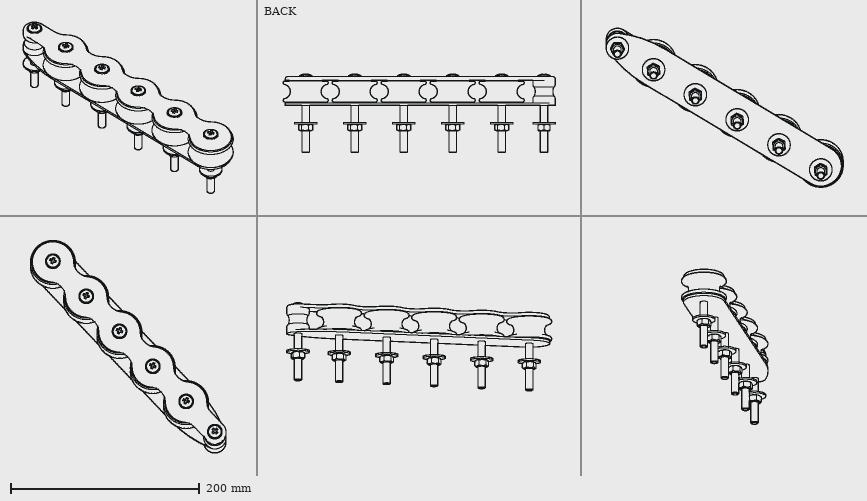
import cadquery as cq
import math

overall_length = 289.0
roller_count = 5
roller_pitch = 52.0
roller_radius = 24.0
post_radius = 12.0
post_x = post_radius
last_roller_x = overall_length - roller_radius
first_roller_x = last_roller_x - (roller_count - 1) * roller_pitch
roller_xs = [first_roller_x + i * roller_pitch for i in range(roller_count)]

total_height = 83.5
head_height = 2.5
cover_thickness = 4.0
base_thickness = 2.5
body_height = 30.5
cover_top = total_height - head_height
cover_bottom = cover_top - cover_thickness
base_bottom = cover_top - body_height
base_top = base_bottom + base_thickness
roller_middle = (base_top + cover_bottom) / 2

waist_half_width = post_radius
scallop_radius = 17.48
lobe_radius = math.hypot(roller_pitch / 2, waist_half_width + scallop_radius) - scallop_radius
cover_edge_fillet = 3.0

groove_half_height = 7.5
groove_rim_radius = 22.8
roller_neck_radius = 16.5
roller_clearance = 1.0
roller_hub_radius = 17.3
post_groove_half_height = 5.0
post_groove_rim_radius = 10.7
post_neck_radius = 9.5
post_shoulder_height = 2.5

bolt_radius = 4.0
bolt_tip_chamfer = 1.0
head_radius = 6.8
head_edge_lift = 0.5
head_crown_radius = 1.7
dome_share = 0.7
head_pocket_radius = 7.8
head_pocket_depth = 2.0
recess_length = 7.0
recess_width = 2.3
recess_depth = 2.3
recess_taper = 10.0
washer_radius = 12.0
washer_top = 32.0
washer_thickness = 1.7
nut_height = 7.2
nut_across_flats = 13.0
nut_face_radius = 5.8
nut_chamfer_height = 1.2
roller_bolt_turn = 25.0


def scallop_points(mid_x, side):
    """Start, middle and end of the waist arc centred at mid_x, on the +Y or -Y side."""
    reach = roller_pitch / 2
    share = lobe_radius / (lobe_radius + scallop_radius)
    tangent_x = reach * (1 - share)
    tangent_y = side * (waist_half_width + scallop_radius) * share
    left = (mid_x - tangent_x, tangent_y)
    right = (mid_x + tangent_x, tangent_y)
    return left, (mid_x, side * waist_half_width), right


def make_cover():
    """Scalloped plate with rounded upper edge, running from the post to the last roller."""
    mids = [x - roller_pitch / 2 for x in roller_xs]
    outline = cq.Workplane("XY", origin=(0, 0, cover_bottom))
    outline = outline.moveTo(post_x, -waist_half_width).lineTo(mids[0], -waist_half_width)
    _, _, first_end = scallop_points(mids[0], -1)
    outline = outline.radiusArc(first_end, scallop_radius)
    for mid_x in mids[1:]:
        left, middle, right = scallop_points(mid_x, -1)
        outline = outline.threePointArc((mid_x - roller_pitch / 2, -lobe_radius), left)
        outline = outline.threePointArc(middle, right)
    _, _, last_end = scallop_points(mids[-1], 1)
    outline = outline.threePointArc((last_roller_x + lobe_radius, 0), last_end)
    for mid_x in reversed(mids[1:]):
        left, middle, _ = scallop_points(mid_x, 1)
        outline = outline.threePointArc(middle, left)
        _, _, next_end = scallop_points(mid_x - roller_pitch, 1)
        outline = outline.threePointArc((mid_x - roller_pitch / 2, lobe_radius), next_end)
    outline = outline.radiusArc((mids[0], waist_half_width), scallop_radius)
    outline = outline.lineTo(post_x, waist_half_width)
    outline = outline.threePointArc((post_x - post_radius, 0), (post_x, -waist_half_width)).close()
    plate = outline.extrude(cover_thickness)
    return plate.faces(">Z").edges().fillet(cover_edge_fillet)


def make_base():
    """Flat plate with straight sides, a round end and a nose curving in to the post."""
    run = first_roller_x - post_x
    nose_radius = (run**2 + lobe_radius**2 - post_radius**2) / (2 * (lobe_radius - post_radius))
    nose_centre_y = lobe_radius - nose_radius
    nose_angle = math.atan2(run, -nose_centre_y)
    tip_x = post_x - post_radius * math.sin(nose_angle)
    tip_y = post_radius * math.cos(nose_angle)
    return (
        cq.Workplane("XY", origin=(0, 0, base_bottom))
        .moveTo(first_roller_x, -lobe_radius)
        .lineTo(last_roller_x, -lobe_radius)
        .threePointArc((last_roller_x + lobe_radius, 0), (last_roller_x, lobe_radius))
        .lineTo(first_roller_x, lobe_radius)
        .radiusArc((tip_x, tip_y), -nose_radius)
        .threePointArc((post_x - post_radius, 0), (tip_x, -tip_y))
        .radiusArc((first_roller_x, -lobe_radius), -nose_radius)
        .close()
        .extrude(base_thickness)
    )


def revolve_about_z(profile, x):
    """Turn a closed XZ profile, drawn from the Z axis, into a solid standing at x."""
    return profile.close().revolve(360, (0, 0, 0), (0, 1, 0)).translate((x, 0, 0))


def make_roller(x):
    """Grooved roller with full-round rims and a narrow hub spacing it off both plates."""
    groove_bottom = roller_middle - groove_half_height
    groove_top = roller_middle + groove_half_height
    lower_face = base_top + roller_clearance
    upper_face = cover_bottom - roller_clearance
    lower_rim_middle = (lower_face + groove_bottom) / 2
    upper_rim_middle = (upper_face + groove_top) / 2
    profile = (
        cq.Workplane("XZ")
        .moveTo(0, base_top)
        .lineTo(roller_hub_radius, base_top)
        .lineTo(roller_hub_radius, lower_face)
        .lineTo(groove_rim_radius, lower_face)
        .threePointArc((roller_radius, lower_rim_middle), (groove_rim_radius, groove_bottom))
        .threePointArc((roller_neck_radius, roller_middle), (groove_rim_radius, groove_top))
        .threePointArc((roller_radius, upper_rim_middle), (groove_rim_radius, upper_face))
        .lineTo(roller_hub_radius, upper_face)
        .lineTo(roller_hub_radius, cover_bottom)
        .lineTo(0, cover_bottom)
    )
    return revolve_about_z(profile, x)


def make_post():
    """Fixed end post with a waisted neck between two rounded shoulders."""
    groove_bottom = roller_middle - post_groove_half_height
    groove_top = roller_middle + post_groove_half_height
    shoulder_depth = post_radius - post_groove_rim_radius
    shoulder_radius = (shoulder_depth**2 + post_shoulder_height**2) / (2 * shoulder_depth)
    profile = (
        cq.Workplane("XZ")
        .moveTo(0, base_top)
        .lineTo(post_radius, base_top)
        .lineTo(post_radius, groove_bottom - post_shoulder_height)
        .radiusArc((post_groove_rim_radius, groove_bottom), -shoulder_radius)
        .threePointArc((post_neck_radius, roller_middle), (post_groove_rim_radius, groove_top))
        .radiusArc((post_radius, groove_top + post_shoulder_height), -shoulder_radius)
        .lineTo(post_radius, cover_bottom)
        .lineTo(0, cover_bottom)
    )
    return revolve_about_z(profile, post_x)


def make_nut(turn):
    """Hexagonal nut with both faces chamfered, hanging below the washer."""
    nut_top = washer_top - washer_thickness
    nut_bottom = nut_top - nut_height
    corner_radius = nut_across_flats / math.sqrt(3)
    hexagon = (
        cq.Workplane("XY", origin=(0, 0, nut_bottom))
        .polygon(6, 2 * corner_radius)
        .extrude(nut_height)
        .rotate((0, 0, 0), (0, 0, 1), 90 + turn)
    )
    envelope_profile = (
        cq.Workplane("XZ")
        .moveTo(0, nut_bottom)
        .lineTo(nut_face_radius, nut_bottom)
        .lineTo(corner_radius, nut_bottom + nut_chamfer_height)
        .lineTo(corner_radius, nut_top - nut_chamfer_height)
        .lineTo(nut_face_radius, nut_top)
        .lineTo(0, nut_top)
    )
    return hexagon.intersect(revolve_about_z(envelope_profile, 0))


def make_bolt(turn):
    """Domed bolt with a cross recess, its washer and its nut, standing at the origin."""
    seat = cover_top - head_pocket_depth
    dome_x = (head_radius + head_crown_radius) / 2
    dome_z = cover_top + head_edge_lift + dome_share * (head_height - head_edge_lift)
    profile = (
        cq.Workplane("XZ")
        .moveTo(0, 0)
        .lineTo(bolt_radius - bolt_tip_chamfer, 0)
        .lineTo(bolt_radius, bolt_tip_chamfer)
        .lineTo(bolt_radius, seat)
        .lineTo(head_radius, seat)
        .lineTo(head_radius, cover_top + head_edge_lift)
        .threePointArc((dome_x, dome_z), (head_crown_radius, total_height))
        .lineTo(0, total_height)
    )
    bolt = revolve_about_z(profile, 0)
    recess_plane = cq.Workplane("XY", origin=(0, 0, total_height))
    for length_x, length_y in ((recess_length, recess_width), (recess_width, recess_length)):
        bolt = bolt.cut(recess_plane.rect(length_x, length_y).extrude(-recess_depth, taper=recess_taper))
    bolt = bolt.rotate((0, 0, 0), (0, 0, 1), turn)
    washer = (
        cq.Workplane("XY", origin=(0, 0, washer_top))
        .circle(washer_radius)
        .extrude(-washer_thickness)
    )
    return bolt.union(washer).union(make_nut(turn))


body = make_post().union(make_cover()).union(make_base())
for roller_x in roller_xs:
    body = body.union(make_roller(roller_x))

head_centres = [(x, 0) for x in [post_x] + roller_xs]
pockets = (
    cq.Workplane("XY", origin=(0, 0, cover_top))
    .pushPoints(head_centres)
    .circle(head_pocket_radius)
    .extrude(-head_pocket_depth)
)
result = body.cut(pockets)

post_bolt = make_bolt(0)
roller_bolt = make_bolt(roller_bolt_turn)
result = result.union(post_bolt.translate((post_x, 0, 0)))
for roller_x in roller_xs:
    result = result.union(roller_bolt.translate((roller_x, 0, 0)))